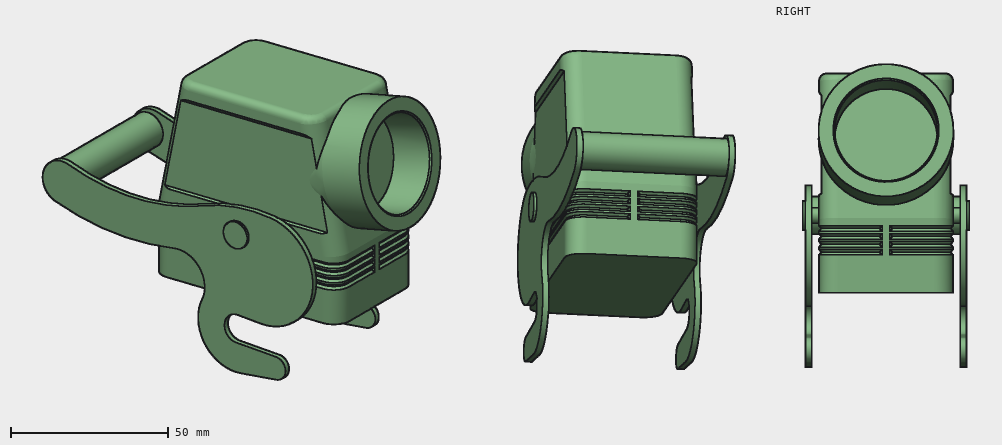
import cadquery as cq
import math

OVERALL_LENGTH = 125.7

HOUSING_LENGTH = 73.0
HOUSING_WIDTH = 42.8
HOUSING_HEIGHT = 69.9
FOLD_HEIGHT = 23.9
LEAN_ANGLE = 11.3
CORNER_RADIUS = 6.0
TOP_EDGE_RADIUS = 2.5

PANEL_DEPTH = 0.8
PANEL_BOTTOM = 31.0
PANEL_TOP = 64.0
PANEL_BOTTOM_SLOPE = 0.6
PANEL_TOP_SLOPE = 1.1

GROOVE_COUNT = 4
GROOVE_BOTTOM = 12.1
GROOVE_PITCH = 2.5
GROOVE_WIDTH = 1.8
GROOVE_DEPTH = 0.8
BRIDGE_OUTER_WIDTH = 2.4
BRIDGE_INNER_WIDTH = 4.3

COLLAR_FACE_Z = 51.8
COLLAR_RADIUS = 21.5
COLLAR_LENGTH = 14.8
COLLAR_CONE_LENGTH = 8.8
COLLAR_CONE_ANGLE = 8.2
BORE_RADIUS = 16.3
BORE_CHAMFER = 0.5
BORE_CHAMFER_ANGLE = 45.0

LEVER_OUTER_WIDTH = 51.3
PLATE_THICKNESS = 2.0
PIVOT_Z = 24.6
PIN_RADIUS = 2.5
PIN_HEAD_RADIUS = 4.7
PIN_LENGTH = 53.2
GRIP_X = -70.0
GRIP_RADIUS = 6.0

ARM_END = (-68.5, PIVOT_Z)
ARM_END_RADIUS = 7.5
ARM_UPPER_EDGE = (-38.7, 104.0)
ARM_LOWER_EDGE = (-39.7, 104.0)
CAM_TOP = (5.4, -21.8)
CAM_SIDE = (10.5, 14.8)
NOTCH = (-23.1, 2.9)
HOOK = (0.0, -8.4)
HOOK_SLOT_RADIUS = 4.9
HOOK_TIP = (15.0, -18.2)
HOOK_TIP_RADIUS = 4.0


def on_circle(center, radius, angle):
    """Point of a circle at an angle in radians."""
    return (center[0] + radius * math.cos(angle), center[1] + radius * math.sin(angle))


def heading(start, end):
    """Direction from one point to another, in radians."""
    return math.atan2(end[1] - start[1], end[0] - start[0])


def tangent_line(center_a, radius_a, center_b, radius_b, turn):
    """Ends of a line touching two circles; radii of opposite sign make the line cross between them.

    turn = 1 or -1 picks the side of the centre line.
    """
    spread = math.acos((radius_a - radius_b) / math.dist(center_a, center_b))
    normal = heading(center_a, center_b) + turn * spread
    return on_circle(center_a, radius_a, normal), on_circle(center_b, radius_b, normal)


def make_housing():
    half_length = HOUSING_LENGTH / 2
    top_half = half_length - (HOUSING_HEIGHT - FOLD_HEIGHT) * math.tan(math.radians(LEAN_ANGLE))
    body = (
        cq.Workplane("XZ")
        .polyline([
            (-half_length, 0),
            (half_length, 0),
            (half_length, FOLD_HEIGHT),
            (top_half, HOUSING_HEIGHT),
            (-top_half, HOUSING_HEIGHT),
            (-half_length, FOLD_HEIGHT),
        ])
        .close()
        .extrude(HOUSING_WIDTH / 2, both=True)
    )
    corners = body.edges("(not #Z) and (not |X) and (not |Y)")
    body = corners.fillet(CORNER_RADIUS)
    return body.faces(">Z").edges().fillet(TOP_EDGE_RADIUS)


def make_panel_cutters():
    surface = HOUSING_WIDTH / 2
    floor = surface - PANEL_DEPTH
    cutter = (
        cq.Workplane("YZ")
        .polyline([
            (surface, PANEL_BOTTOM),
            (floor, PANEL_BOTTOM + PANEL_BOTTOM_SLOPE),
            (floor, PANEL_TOP - PANEL_TOP_SLOPE),
            (surface, PANEL_TOP),
        ])
        .close()
        .extrude(HOUSING_LENGTH / 2, both=True)
    )
    return cutter.union(cutter.mirror("XZ"))


def rounded_outline():
    """Outline of the housing around its upright walls."""
    return (
        cq.Sketch()
        .rect(HOUSING_LENGTH, HOUSING_WIDTH)
        .vertices()
        .fillet(CORNER_RADIUS)
    )


def make_groove_cutter():
    """One ring with a V section, standing on Z = 0 and split by a bridge on each end wall."""
    half_width = GROOVE_WIDTH / 2
    slope = math.degrees(math.atan(GROOVE_DEPTH / half_width))
    lower_core = cq.Workplane("XY").placeSketch(rounded_outline()).extrude(half_width, taper=slope)
    core = lower_core.union(lower_core.mirror("XY").translate((0, 0, GROOVE_WIDTH)))
    ring = cq.Workplane("XY").placeSketch(rounded_outline()).extrude(GROOVE_WIDTH).cut(core)

    outer_x = HOUSING_LENGTH / 2
    inner_x = outer_x - GROOVE_DEPTH
    bridge = (
        cq.Workplane("XY")
        .polyline([
            (outer_x, -BRIDGE_OUTER_WIDTH / 2),
            (outer_x, BRIDGE_OUTER_WIDTH / 2),
            (inner_x, BRIDGE_INNER_WIDTH / 2),
            (inner_x, -BRIDGE_INNER_WIDTH / 2),
        ])
        .close()
        .extrude(GROOVE_WIDTH)
    )
    return ring.cut(bridge).cut(bridge.mirror("YZ"))


def make_collar_plane():
    """Plane of the collar's open face, its normal pointing out along the collar axis."""
    lean = math.radians(LEAN_ANGLE)
    rim_x = ARM_END[0] - ARM_END_RADIUS + OVERALL_LENGTH
    face_x = rim_x - COLLAR_RADIUS * math.sin(lean)
    return cq.Plane(
        origin=(face_x, 0, COLLAR_FACE_Z),
        xDir=(0, 1, 0),
        normal=(math.cos(lean), 0, math.sin(lean)),
    )


def make_collar():
    face = cq.Workplane(make_collar_plane())
    barrel = face.circle(COLLAR_RADIUS).extrude(-COLLAR_LENGTH)
    root = (
        face.workplane(offset=-COLLAR_LENGTH)
        .circle(COLLAR_RADIUS)
        .extrude(-COLLAR_CONE_LENGTH, taper=COLLAR_CONE_ANGLE)
    )
    return barrel.union(root)


def make_bore():
    face = cq.Workplane(make_collar_plane())
    bore = face.circle(BORE_RADIUS).extrude(-COLLAR_LENGTH)
    mouth = face.circle(BORE_RADIUS + BORE_CHAMFER).extrude(-BORE_CHAMFER, taper=BORE_CHAMFER_ANGLE)
    return bore.union(mouth)


def make_plate():
    """Side plate of the lever: curved arm, round cam and hook, all edges running smoothly together."""
    arm_top_radius = math.dist(ARM_UPPER_EDGE, ARM_END) - ARM_END_RADIUS
    arm_bottom_radius = math.dist(ARM_LOWER_EDGE, ARM_END) + ARM_END_RADIUS
    cam_top_radius = math.dist(ARM_UPPER_EDGE, CAM_TOP) - arm_top_radius
    cam_side_radius = cam_top_radius - math.dist(CAM_TOP, CAM_SIDE)
    notch_radius = math.dist(ARM_LOWER_EDGE, NOTCH) - arm_bottom_radius
    hook_radius = math.dist(NOTCH, HOOK) - notch_radius

    arm_top_start = on_circle(ARM_UPPER_EDGE, arm_top_radius, heading(ARM_UPPER_EDGE, ARM_END))
    arm_top_end = on_circle(ARM_UPPER_EDGE, arm_top_radius, heading(ARM_UPPER_EDGE, CAM_TOP))
    arm_bottom_end = on_circle(ARM_LOWER_EDGE, arm_bottom_radius, heading(ARM_LOWER_EDGE, ARM_END))
    arm_tip = on_circle(ARM_END, ARM_END_RADIUS, math.pi)
    cam_top_end = on_circle(CAM_TOP, cam_top_radius, heading(CAM_TOP, CAM_SIDE))
    slot_top, cam_bottom = tangent_line(HOOK, HOOK_SLOT_RADIUS, CAM_SIDE, -cam_side_radius, 1)
    slot_bottom, tip_top = tangent_line(HOOK, HOOK_SLOT_RADIUS, HOOK_TIP, -HOOK_TIP_RADIUS, -1)
    hook_bottom, tip_bottom = tangent_line(HOOK, hook_radius, HOOK_TIP, HOOK_TIP_RADIUS, -1)
    notch_bottom = on_circle(NOTCH, notch_radius, heading(NOTCH, HOOK))
    notch_top = on_circle(NOTCH, notch_radius, heading(NOTCH, ARM_LOWER_EDGE))

    straight_down = -math.pi / 2
    return (
        cq.Workplane("XZ")
        .moveTo(*arm_top_start)
        .threePointArc(on_circle(ARM_UPPER_EDGE, arm_top_radius, straight_down), arm_top_end)
        .threePointArc(on_circle(CAM_TOP, cam_top_radius, math.pi / 2), cam_top_end)
        .threePointArc(on_circle(CAM_SIDE, cam_side_radius, 0), cam_bottom)
        .lineTo(*slot_top)
        .threePointArc(on_circle(HOOK, HOOK_SLOT_RADIUS, math.pi), slot_bottom)
        .lineTo(*tip_top)
        .threePointArc(on_circle(HOOK_TIP, HOOK_TIP_RADIUS, 0), tip_bottom)
        .lineTo(*hook_bottom)
        .threePointArc(on_circle(HOOK, hook_radius, math.pi), notch_bottom)
        .threePointArc(on_circle(NOTCH, notch_radius, 0), notch_top)
        .threePointArc(on_circle(ARM_LOWER_EDGE, arm_bottom_radius, straight_down), arm_bottom_end)
        .threePointArc(arm_tip, arm_top_start)
        .close()
        .extrude(PLATE_THICKNESS)
        .translate((0, -LEVER_OUTER_WIDTH / 2 + PLATE_THICKNESS, 0))
    )


def make_crossbar(x, radius, length):
    """Round bar along Y at pivot height, centred on the housing."""
    start = cq.Workplane("XZ", origin=(x, length / 2, PIVOT_Z))
    return start.circle(radius).extrude(length)


def make_lever():
    plate = make_plate()
    plate_gap = LEVER_OUTER_WIDTH - 2 * PLATE_THICKNESS
    pin_heads = make_crossbar(0, PIN_HEAD_RADIUS, PIN_LENGTH).cut(
        make_crossbar(0, PIN_HEAD_RADIUS, plate_gap)
    )
    return (
        plate.union(plate.mirror("XZ"))
        .union(make_crossbar(GRIP_X, GRIP_RADIUS, plate_gap))
        .union(make_crossbar(0, PIN_RADIUS, plate_gap))
        .union(pin_heads)
    )


housing = make_housing().cut(make_panel_cutters())
groove_cutter = make_groove_cutter()
for index in range(GROOVE_COUNT):
    housing = housing.cut(groove_cutter.translate((0, 0, GROOVE_BOTTOM + index * GROOVE_PITCH)))

result = housing.union(make_collar()).cut(make_bore()).union(make_lever())